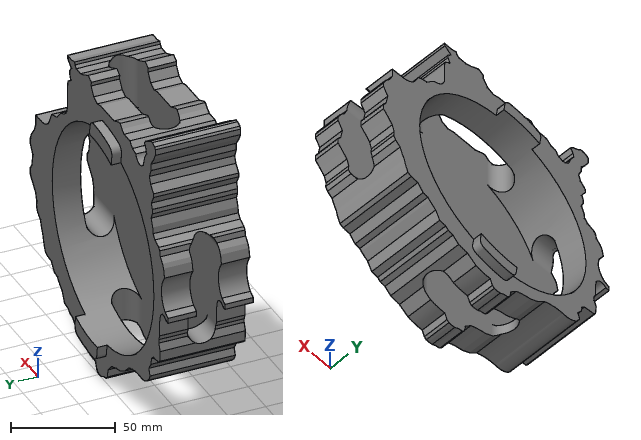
import cadquery as cq
import math


body_depth = 45.0
overall_depth = 50.0
tab_height = overall_depth - body_depth

bore_radius = 115.0 / 2

slot_width = body_depth / 3
slot_length = 4 * slot_width
slot_shift = 1.6
slot_reach = 98.5
slot_count = 4
slot_middle = body_depth / 2

front_wall = (body_depth - slot_width) / 2
bore_depth = body_depth - front_wall

tab_outer_radius = 65.8
tab_corner_radius = 4.0
tab_width = 25.0
tab_turn = -8
tab_count = 2

coast_start = (-55.8, 85.2)
north_coast = [
    (-53.8, 85.2),
    (-52.2, 83.7),
    (-48.2, 81.7),
    (-46.8, 80.0),
    (-48.5, 77.5),
    (-49.0, 75.0),
    (-47.1, 71.9),
    (-45.8, 67.6),
    ((-41.3, 64.8), (-37.0, 68.3)),
    (-33.3, 69.2),
    (-30.4, 71.9),
    (-23.8, 71.9),
    (-21.5, 73.3),
    (-19.4, 75.5),
    (-17.4, 75.1),
    (-12.5, 73.0),
    (3.0, 72.8),
    (6.5, 71.9),
    (10.5, 73.7),
    (13.5, 78.1),
    (13.3, 80.2),
    (16.7, 82.2),
    (22.0, 79.4),
    (25.5, 78.3),
    (30.4, 78.3),
    (31.8, 79.5),
    (32.2, 81.0),
    (35.5, 80.2),
    (40.4, 80.2),
    (40.0, 78.6),
    (36.0, 75.3),
    (37.9, 73.2),
    (37.9, 71.4),
    (36.6, 68.3),
    (39.7, 66.1),
]
east_coast = [
    (40.4, 63.0),
    (40.4, 50.9),
    ((41.7, 47.5), (44.8, 44.8)),
    (47.9, 43.5),
    (52.3, 38.7),
    (58.0, 37.0),
    (60.2, 33.0),
    ((63.3, 28.7), (68.5, 26.7)),
    (76.5, 26.4),
    (76.5, 20.8),
    (78.0, 17.2),
    (81.0, 13.3),
    (82.5, 9.8),
    (82.5, 7.4),
    (79.5, 2.3),
    (80.7, -4.1),
    (82.5, -6.5),
    (82.5, -10.2),
    (79.0, -14.0),
    (76.5, -17.0),
    (75.1, -21.2),
    (75.5, -24.3),
    (74.2, -26.7),
    (71.0, -29.4),
]
south_coast = [
    (69.5, -33.3),
    (68.1, -36.5),
    (67.5, -39.2),
    (65.6, -44.0),
    (63.3, -45.1),
    (58.7, -45.6),
    (55.1, -50.0),
    (51.8, -50.5),
    (50.5, -52.0),
    (46.5, -55.5),
    (43.6, -60.9),
    (39.5, -61.5),
    (37.7, -63.2),
    (34.5, -63.8),
    (30.5, -67.5),
    (24.5, -68.5),
    (18.5, -72.7),
    ((13.8, -73.7), (8.7, -73.8)),
    (7.2, -77.6),
    (5.9, -78.8),
    (4.1, -78.9),
    (1.8, -78.6),
    (-0.5, -77.3),
    (-3.5, -76.6),
    (-4.8, -75.1),
    (-5.7, -70.5),
    (-9.4, -66.8),
    (-13.8, -65.0),
    (-19.4, -63.5),
    (-24.3, -60.9),
    (-28.9, -56.6),
    ((-35.1, -54.5), (-41.8, -54.0)),
    ((-49.4, -52.3), (-53.2, -47.4)),
    (-51.8, -43.8),
    (-54.3, -40.2),
    (-54.8, -36.8),
    (-56.5, -35.1),
    (-63.2, -34.1),
]
west_coast = [
    (-64.2, -33.0),
    (-64.6, -27.2),
    (-63.2, -23.3),
    (-63.2, -21.3),
    (-64.2, -18.7),
    (-64.2, -10.7),
    (-64.8, -7.5),
    ((-67.5, -5.0), (-71.2, -6.2)),
    (-73.5, -6.4),
    (-73.5, -3.6),
    (-70.2, -2.0),
    ((-66.1, 6.9), (-68.5, 15.3)),
    (-69.5, 16.7),
    (-68.5, 21.3),
    (-67.5, 23.5),
    (-64.8, 26.1),
    (-64.2, 29.0),
    (-63.0, 30.4),
    (-58.7, 32.2),
    (-56.6, 34.5),
    (-56.3, 37.5),
    (-54.5, 42.0),
    (-55.8, 45.1),
    (-55.8, 47.5),
    (-54.6, 50.5),
    (-57.3, 55.1),
    (-57.1, 57.1),
    (-53.8, 60.7),
    (-52.5, 64.3),
    (-54.3, 68.5),
    (-54.3, 72.2),
    (-57.3, 76.3),
    (-59.2, 79.9),
    (-59.2, 83.0),
    (-58.4, 84.2),
]


def island_body():
    """The solid island, from the front face at Y = 0 back to the rear face."""
    outline = cq.Workplane("XZ").moveTo(*coast_start)
    for stretch in north_coast + east_coast + south_coast + west_coast:
        if isinstance(stretch[0], tuple):
            outline = outline.threePointArc(*stretch)
        else:
            outline = outline.lineTo(*stretch)
    return outline.close().extrude(-body_depth)


def bore():
    """Round pocket sunk into the rear face."""
    return cq.Workplane("XZ", origin=(0, body_depth, 0)).circle(bore_radius).extrude(bore_depth)


def rim_slot(angle):
    """Round-ended slot running outward from the bore, turned about the bore axis."""
    slot = (
        cq.Workplane("XY", origin=(slot_shift, slot_middle, 0))
        .slot2D(slot_length, slot_width)
        .extrude(slot_reach)
    )
    return slot.rotate((0, 0, 0), (0, 1, 0), angle)


def bayonet_tab(angle):
    """Straight-sided tab on the rear face, flush with the bore, turned about the bore axis."""
    half_width = tab_width / 2
    inner_corner = math.sqrt(bore_radius**2 - half_width**2)
    outer_corner = math.sqrt(tab_outer_radius**2 - half_width**2)
    tab = (
        cq.Workplane("XZ", origin=(0, body_depth, 0))
        .moveTo(-half_width, inner_corner)
        .lineTo(-half_width, outer_corner)
        .threePointArc((0, tab_outer_radius), (half_width, outer_corner))
        .lineTo(half_width, inner_corner)
        .threePointArc((0, bore_radius), (-half_width, inner_corner))
        .close()
        .extrude(-tab_height)
    )
    tab = tab.edges("|Y").edges(">Z").fillet(tab_corner_radius)
    return tab.rotate((0, 0, 0), (0, 1, 0), angle)


result = island_body().cut(bore())
for index in range(slot_count):
    result = result.cut(rim_slot(index * 360 / slot_count))
for index in range(tab_count):
    result = result.union(bayonet_tab(tab_turn + index * 360 / tab_count))